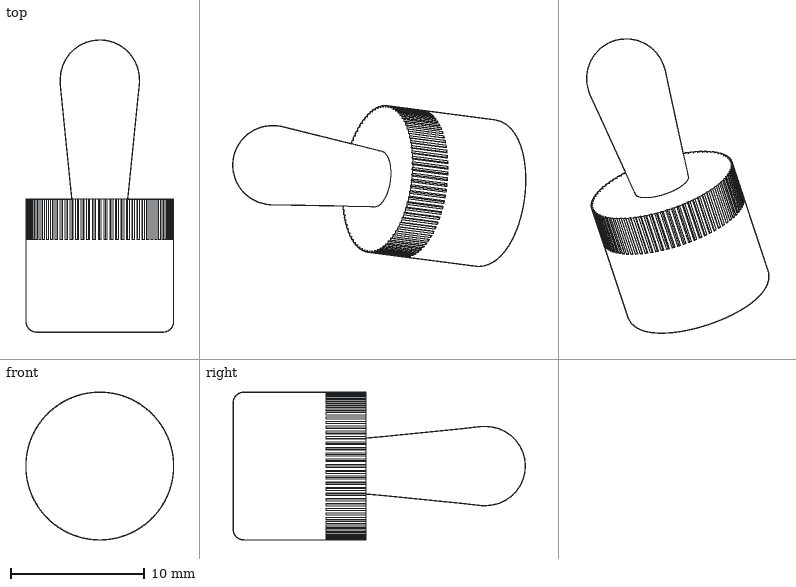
import cadquery as cq
import math

overall_length = 21.95
housing_diameter = 11.1
housing_length = 9.99
base_fillet = 0.81

knurl_length = 3.0
groove_count = 80
groove_width = 0.22
groove_depth = groove_width / 2
groove_overcut = 0.02

ball_radius = 2.99
band_length = 0.29
neck_radius = 2.1

housing_radius = housing_diameter / 2


def make_groove_cutter():
    """V-shaped bar along Y that cuts one groove on the -X side of the housing."""
    half_width = groove_width / 2 + groove_overcut
    outer_x = -(housing_radius + groove_overcut)
    root_x = -(housing_radius - groove_depth)
    return (
        cq.Workplane("XZ", origin=(0, housing_length - knurl_length, 0))
        .moveTo(root_x, 0)
        .lineTo(outer_x, half_width)
        .lineTo(outer_x, -half_width)
        .close()
        .extrude(-(knurl_length + groove_overcut))
    )


def make_housing():
    """Plain cylinder with a rounded base and a knurled collar."""
    housing = (
        cq.Workplane("XZ")
        .circle(housing_radius)
        .extrude(-housing_length)
        .faces("<Y")
        .edges()
        .fillet(base_fillet)
    )
    cutter = make_groove_cutter().val()
    pitch_angle = 360 / groove_count
    grooves = []
    for index in range(groove_count):
        grooves.append(cutter.rotate(cq.Vector(0, 0, 0), cq.Vector(0, 1, 0), index * pitch_angle))
    return cq.Workplane(housing.val().cut(*grooves).Solids()[0])


def make_lever_pin():
    """Revolved pin standing on the end face of the housing."""
    ball_center_y = overall_length - ball_radius
    cone_top_y = ball_center_y - band_length
    arc_offset = ball_radius * math.sqrt(0.5)

    return (
        cq.Workplane("XY")
        .moveTo(0, housing_length)
        .lineTo(neck_radius, housing_length)
        .lineTo(ball_radius, cone_top_y)
        .lineTo(ball_radius, ball_center_y)
        .threePointArc((arc_offset, ball_center_y + arc_offset), (0, overall_length))
        .close()
        .revolve(360, (0, 0, 0), (0, 1, 0))
    )


housing = make_housing()
lever_pin = make_lever_pin()

result = cq.Compound.makeCompound([housing.val(), lever_pin.val()])